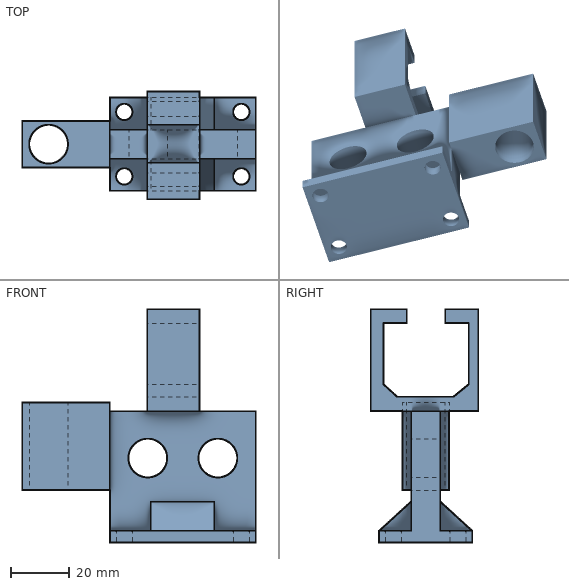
import cadquery as cq

total_length = 80.0
total_height = 80.0

base_length = 50.0
base_width = 32.0
base_thickness = 4.0
mount_hole_diameter = 5.5
mount_hole_end_distance = 5.0
mount_hole_side_distance = 5.0

web_thickness = 10.0
web_top = 45.0
web_hole_diameter = 13.2
web_hole_spacing = 24.0
web_hole_height = 29.0

rib_length = 21.8
rib_top = 14.1
rib_end_distance = 14.0

arm_width = 16.0
arm_height = 30.0
arm_bottom = 18.0
arm_hole_diameter = 13.2
arm_hole_end_distance = 9.0

cradle_length = 18.0
cradle_start = 42.8
cradle_front = -18.9
cradle_back = 18.1
cradle_front_wall = 4.5
cradle_back_wall = 3.4
cradle_floor_thickness = 5.0
lip_thickness = 4.8
slot_front = -6.4
slot_back = 6.6
corner_height = 4.2
front_corner_run = 4.6
back_corner_run = 5.2

base_start = total_length - base_length
base_center = base_start + base_length / 2


def box(x_start, length, y_start, width, z_start, height):
    """Block placed by its lowest corner."""
    return cq.Workplane("XY").box(length, width, height, centered=False).translate((x_start, y_start, z_start))


def make_base():
    """Foot plate with four mounting holes."""
    plate = box(base_start, base_length, -base_width / 2, base_width, 0, base_thickness)
    hole_spacing_x = base_length - 2 * mount_hole_end_distance
    hole_spacing_y = base_width - 2 * mount_hole_side_distance
    holes = (
        cq.Workplane("XY")
        .center(base_center, 0)
        .rarray(hole_spacing_x, hole_spacing_y, 2, 2)
        .circle(mount_hole_diameter / 2)
        .extrude(base_thickness)
    )
    return plate.cut(holes)


def make_web():
    """Upright plate with two cross holes."""
    plate = box(base_start, base_length, -web_thickness / 2, web_thickness, 0, web_top)
    holes = (
        cq.Workplane("XZ")
        .center(base_center, web_hole_height)
        .rarray(web_hole_spacing, 0.8, 2, 1)
        .circle(web_hole_diameter / 2)
        .extrude(web_thickness / 2, both=True)
    )
    return plate.cut(holes)


def make_rib(side):
    """Triangular gusset between the foot plate and one face of the web (side is -1 or 1)."""
    web_face = side * web_thickness / 2
    plate_edge = side * base_width / 2
    return (
        cq.Workplane("YZ", origin=(base_start + rib_end_distance, 0, 0))
        .moveTo(web_face, base_thickness)
        .lineTo(plate_edge, base_thickness)
        .lineTo(web_face, rib_top)
        .close()
        .extrude(rib_length)
    )


def make_arm():
    """Block at the end of the web with a vertical through hole."""
    block = box(0, base_start, -arm_width / 2, arm_width, arm_bottom, arm_height)
    hole = (
        cq.Workplane("XY", origin=(arm_hole_end_distance, 0, arm_bottom))
        .circle(arm_hole_diameter / 2)
        .extrude(arm_height)
    )
    return block.cut(hole)


def make_cradle():
    """C-shaped channel on top of the web, slightly off-center in Y."""
    cradle = box(
        cradle_start, cradle_length,
        cradle_front, cradle_back - cradle_front,
        web_top, total_height - web_top,
    )
    inner_front = cradle_front + cradle_front_wall
    inner_back = cradle_back - cradle_back_wall
    floor = web_top + cradle_floor_thickness
    lip_bottom = total_height - lip_thickness
    opening = (
        cq.Workplane("YZ", origin=(cradle_start, 0, 0))
        .moveTo(inner_front + front_corner_run, floor)
        .lineTo(inner_back - back_corner_run, floor)
        .lineTo(inner_back, floor + corner_height)
        .lineTo(inner_back, lip_bottom)
        .lineTo(slot_back, lip_bottom)
        .lineTo(slot_back, total_height)
        .lineTo(slot_front, total_height)
        .lineTo(slot_front, lip_bottom)
        .lineTo(inner_front, lip_bottom)
        .lineTo(inner_front, floor + corner_height)
        .close()
        .extrude(cradle_length)
    )
    return cradle.cut(opening)


result = make_web()
for feature in (make_base(), make_rib(-1), make_rib(1), make_arm(), make_cradle()):
    result = result.union(feature)